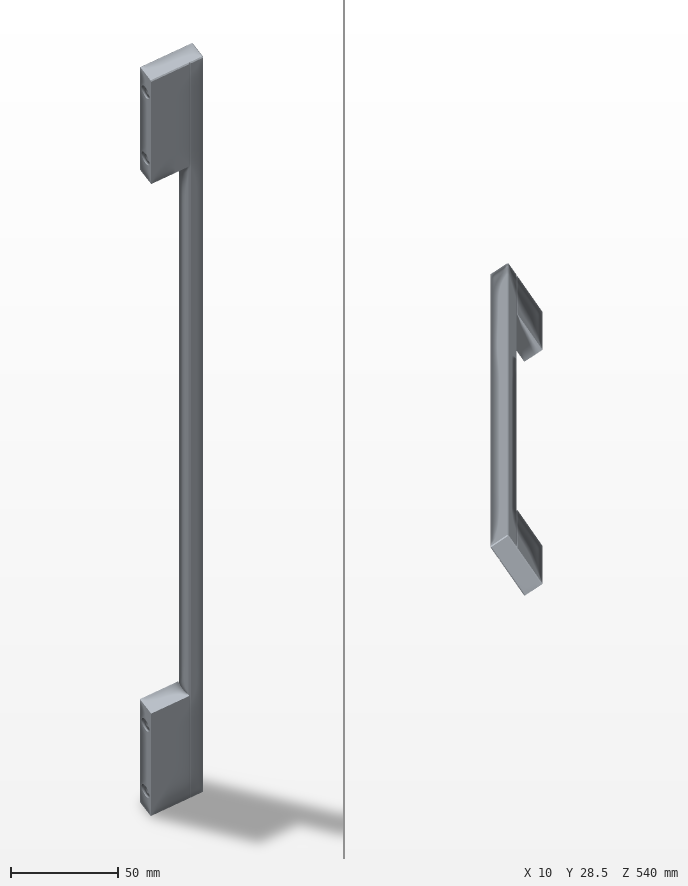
import cadquery as cq

length = 540.0
width = 10.0
depth = 28.5

edge_chamfer = 0.5

side_depth = 7.0
front_bevel = 0.8
crown_height = 0.5

foot_length = 75.5

hole_diameter = 4.0
hole_depth = 11.0
counterbore_diameter = 7.0
counterbore_depth = 1.0
hole_end_distance = 13.5
hole_spacing = 48.5
holes_per_foot = 2

half_width = width / 2
half_length = length / 2
back_y = depth / 2
front_y = -depth / 2
side_front_y = back_y - side_depth
bar_front_y = side_front_y - front_bevel
half_bar_front = half_width - front_bevel


def chamfer_ends(body):
    """Chamfer the side and back edges of the end faces, leaving the front edges sharp."""
    envelope = (
        cq.Workplane("XY")
        .box(width, depth, length)
        .edges("(<Z or >Z) and (<X or >X or >Y)")
        .chamfer(edge_chamfer)
    )
    return body.intersect(envelope)


def make_bar_profile():
    """Extrude the bar section over the full length, with plain ends."""
    return (
        cq.Workplane("XY", origin=(0, 0, -half_length))
        .moveTo(-half_width + edge_chamfer, back_y)
        .lineTo(-half_width, back_y - edge_chamfer)
        .lineTo(-half_width, side_front_y)
        .lineTo(-half_bar_front, bar_front_y)
        .threePointArc((0, bar_front_y - crown_height), (half_bar_front, bar_front_y))
        .lineTo(half_width, side_front_y)
        .lineTo(half_width, back_y - edge_chamfer)
        .lineTo(half_width - edge_chamfer, back_y)
        .close()
        .extrude(length)
    )


def make_bar():
    return chamfer_ends(make_bar_profile())


def make_foot(end):
    """Make the foot at the top (end = 1) or at the bottom (end = -1)."""
    block = cq.Workplane("XY").box(width, bar_front_y - front_y, foot_length).translate(
        (0, (bar_front_y + front_y) / 2, end * (half_length - foot_length / 2))
    )

    seated = chamfer_ends(block).cut(make_bar_profile())

    hole_centres = [
        (0, end * (half_length - hole_end_distance - i * hole_spacing))
        for i in range(holes_per_foot)
    ]
    return (
        cq.Workplane("XZ", origin=(0, front_y, 0))
        .add(seated)
        .pushPoints(hole_centres)
        .cboreHole(hole_diameter, counterbore_diameter, counterbore_depth, hole_depth)
    )


bar = make_bar()
feet = [make_foot(end) for end in (-1, 1)]

result = cq.Compound.makeCompound([bar.val(), *[foot.val() for foot in feet]])